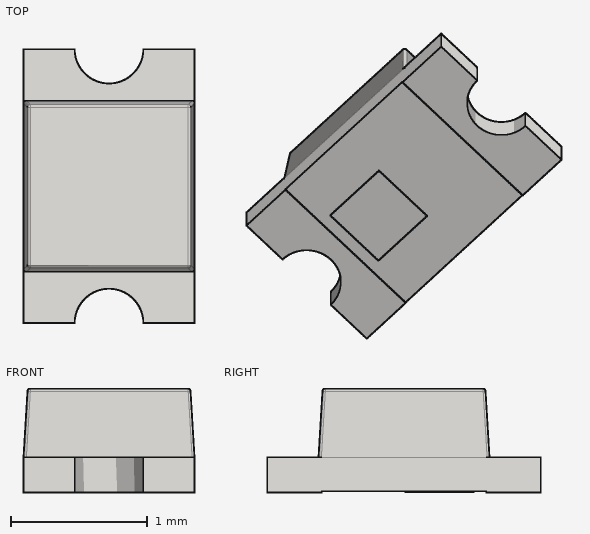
import cadquery as cq
import math

length = 2
width = 1.25
total_height = 0.76
lens_height = 0.5
pad_thickness = 0.01
pad_length = 0.4
notch_radius = 0.25

lens_side = width
wall_lean = 0.03
draft_angle = math.degrees(math.atan(wall_lean / lens_height))
lens_fillet = 0.02

mark_side = 0.5
mark_center_y = 0.26
mark_thickness = 0.008

substrate_top = total_height - lens_height


def make_substrate():
    """Board with a solder pad under each end and a half-round notch through both."""
    board_height = substrate_top - pad_thickness
    board = cq.Workplane("XY").workplane(offset=pad_thickness).rect(width, length).extrude(board_height)
    pads = (
        cq.Workplane("XY")
        .rarray(0.02, length - pad_length, 1, 2)
        .rect(width, pad_length)
        .extrude(pad_thickness)
    )
    notches = cq.Workplane("XY").rarray(0.02, length, 1, 2).circle(notch_radius).extrude(substrate_top)
    return board.union(pads).cut(notches)


def make_lens():
    """Tapered block with rounded corners and a rounded top rim."""
    block = (
        cq.Workplane("XY")
        .workplane(offset=substrate_top)
        .rect(lens_side, lens_side)
        .extrude(lens_height, taper=draft_angle)
    )
    return block.edges("not <Z").fillet(lens_fillet)


def make_mark():
    """Thin raised square between the pads, offset toward +Y."""
    return (
        cq.Workplane("XY")
        .workplane(offset=pad_thickness - mark_thickness)
        .center(0, mark_center_y)
        .rect(mark_side, mark_side)
        .extrude(mark_thickness)
    )


result = make_substrate().union(make_lens()).union(make_mark())